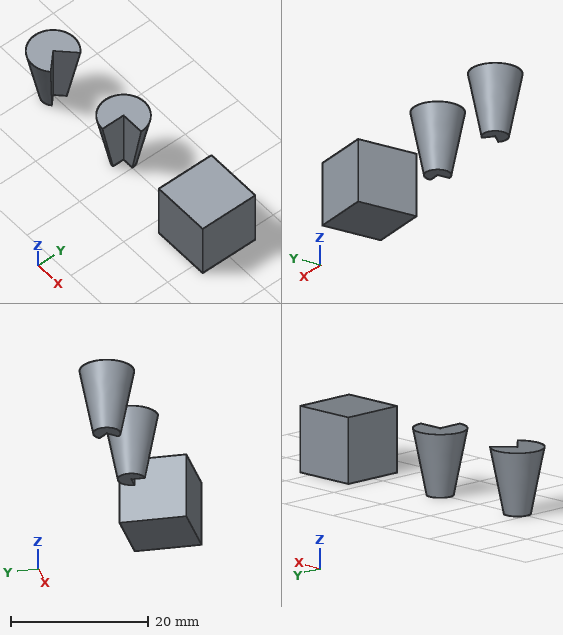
import cadquery as cq

total_length = 44.0
cube_size = 10.0

peg_top_radius = 4.0
peg_bottom_radius = peg_top_radius / 2
peg_height = cube_size
peg_spacing = 16.0
peg_sweep = 270.0

first_peg_x = peg_top_radius
cube_x = total_length - cube_size / 2

peg_start_angles = [45.0, 0.0]


def make_peg(center_x, start_angle):
    """Three-quarter cone standing on Z = 0, turned to its start angle."""
    half_profile = (
        cq.Workplane("XZ")
        .moveTo(0, 0)
        .lineTo(peg_bottom_radius, 0)
        .lineTo(peg_top_radius, peg_height)
        .lineTo(0, peg_height)
        .close()
    )
    peg = half_profile.revolve(peg_sweep, (0, 0, 0), (0, 1, 0))
    peg = peg.rotate((0, 0, 0), (0, 0, 1), start_angle)
    return peg.translate((center_x, 0, 0))


def make_cube():
    """Plain cube at the right end, standing on Z = 0."""
    cube = cq.Workplane("XY").box(cube_size, cube_size, cube_size, centered=(True, True, False))
    return cube.translate((cube_x, 0, 0))


pegs = []
for index, start_angle in enumerate(peg_start_angles):
    pegs.append(make_peg(first_peg_x + index * peg_spacing, start_angle))

cube = make_cube()

result = cq.Compound.makeCompound([*[peg.val() for peg in pegs], cube.val()])